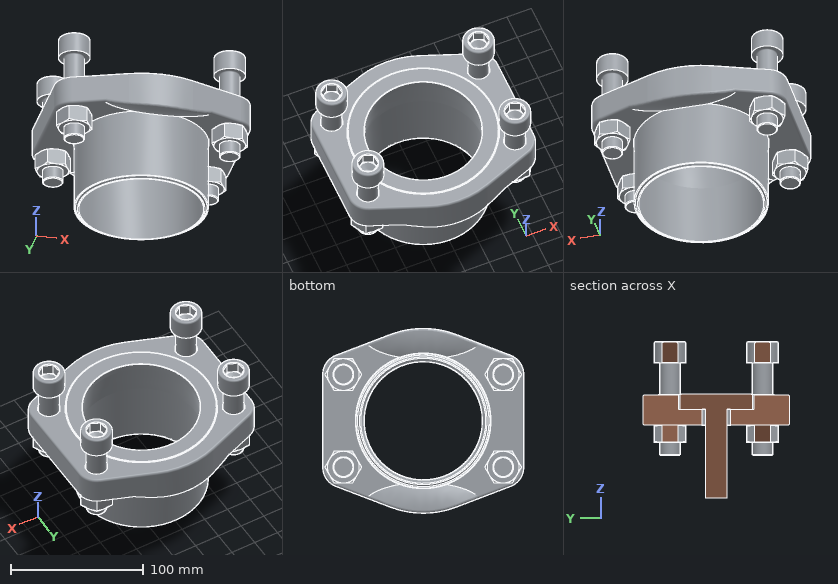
import cadquery as cq
import math

FLANGE_TOP = -0.5
FLANGE_BOTTOM = -23.7
HUB_BOTTOM = -80.1
SCREW_TOP = 39.5

BOLT_X = 60.3
BOLT_Y = 35.0
FLANGE_HALF_X = 76.0
FLANGE_HALF_Y = 139.7 / 2
CORNER_RADIUS = FLANGE_HALF_X - BOLT_X
EDGE_FILLET = 2.0

RIB_BOTTOM = -29.3
RIB_RADIUS = 194.5
RIB_CROWN_RADIUS = 36.5
RIB_CREST_Y = 66.1

COLLAR_DIAMETER = 114.3
COLLAR_HEIGHT = 11.5
COLLAR_CHAMFER = 0.5
COLLAR_BORE_DIAMETER = 115.0
HUB_DIAMETER = 101.5
HUB_HOLE_DIAMETER = 102.5
HUB_LEDGE = 1.0
HUB_CHAMFER = 1.5
MOUTH_DIAMETER = 89.0
MOUTH_DEPTH = 6.0
MOUTH_CHAMFER = 0.3
BORE_DIAMETER = 94.4
FLARE_END = -30.1

SHANK_DIAMETER = 15.7
SHANK_LENGTH = 69.9
SCREW_HOLE_DIAMETER = 17.0
HEAD_DIAMETER = 24.0
HEAD_HEIGHT = 16.0
HEAD_FILLET = 1.4
NECK_FILLET = 0.9
TIP_CHAMFER = 0.68
SOCKET_FLATS = 14.0
SOCKET_DEPTH = 9.3
SOCKET_TURN = 36.0
SOCKET_MOUTH_DIAMETER = 16.1
SOCKET_CONE_SLOPE = 0.5

NUT_FLATS = 24.0
NUT_HEIGHT = 12.8
NUT_BEVEL = 0.8

COS_30 = math.cos(math.radians(30))
BOLT_CENTRES = [(x, y) for x in (-BOLT_X, BOLT_X) for y in (-BOLT_Y, BOLT_Y)]


def cylinder(diameter, bottom, top):
    return cq.Workplane("XY").workplane(offset=bottom).circle(diameter / 2).extrude(top - bottom)


def flange_prism(bottom, top):
    """The flange outline extruded between two heights."""
    bolt_distance = math.hypot(BOLT_X, BOLT_Y)
    tangent_angle = math.atan2(BOLT_X, BOLT_Y) - math.acos((FLANGE_HALF_Y - CORNER_RADIUS) / bolt_distance)
    nx, ny = math.sin(tangent_angle), math.cos(tangent_angle)
    end_x, end_y = FLANGE_HALF_Y * nx, FLANGE_HALF_Y * ny
    corner_x, corner_y = BOLT_X + CORNER_RADIUS * nx, BOLT_Y + CORNER_RADIUS * ny
    middle_angle = (tangent_angle + math.pi / 2) / 2
    middle_x = BOLT_X + CORNER_RADIUS * math.sin(middle_angle)
    middle_y = BOLT_Y + CORNER_RADIUS * math.cos(middle_angle)
    return (
        cq.Workplane("XY")
        .workplane(offset=bottom)
        .moveTo(-end_x, end_y)
        .threePointArc((0, FLANGE_HALF_Y), (end_x, end_y))
        .lineTo(corner_x, corner_y)
        .threePointArc((middle_x, middle_y), (FLANGE_HALF_X, BOLT_Y))
        .lineTo(FLANGE_HALF_X, -BOLT_Y)
        .threePointArc((middle_x, -middle_y), (corner_x, -corner_y))
        .lineTo(end_x, -end_y)
        .threePointArc((0, -FLANGE_HALF_Y), (-end_x, -end_y))
        .lineTo(-corner_x, -corner_y)
        .threePointArc((-middle_x, -middle_y), (-FLANGE_HALF_X, -BOLT_Y))
        .lineTo(-FLANGE_HALF_X, BOLT_Y)
        .threePointArc((-middle_x, middle_y), (-corner_x, corner_y))
        .close()
        .extrude(top - bottom)
    )


def make_rib():
    """Thickening of the +Y half of the flange; its underside is part of a large torus around a Y axis."""
    torus_centre = cq.Vector(0, RIB_CREST_Y, RIB_BOTTOM + RIB_RADIUS)
    ring_radius = RIB_RADIUS - RIB_CROWN_RADIUS
    torus = cq.Solid.makeTorus(ring_radius, RIB_CROWN_RADIUS, torus_centre, cq.Vector(0, 1, 0))
    rib = flange_prism(2 * RIB_BOTTOM, FLANGE_TOP).intersect(cq.Workplane(torus))
    rim = rib.faces("%TORUS").edges().filter(lambda edge: edge.Center().z < FLANGE_TOP - EDGE_FILLET)
    return rim.fillet(EDGE_FILLET)


def make_flange():
    """Plate with two ribs below, a stepped bore for the hub and four screw holes."""
    plate = flange_prism(FLANGE_BOTTOM, FLANGE_TOP).faces("<Z").edges().fillet(EDGE_FILLET)
    rib = make_rib()
    blank = plate.union(rib).union(rib.mirror("XZ"))
    blank = blank.faces(">Z").edges().fillet(EDGE_FILLET)
    screw_holes = (
        cq.Workplane("XY")
        .workplane(offset=FLANGE_BOTTOM)
        .pushPoints(BOLT_CENTRES)
        .circle(SCREW_HOLE_DIAMETER / 2)
        .extrude(FLANGE_TOP - FLANGE_BOTTOM)
    )
    hub_hole = cylinder(HUB_HOLE_DIAMETER, 2 * FLANGE_BOTTOM, FLANGE_TOP)
    collar_bore = cylinder(COLLAR_BORE_DIAMETER, -COLLAR_HEIGHT, FLANGE_TOP)
    return blank.cut(hub_hole).cut(collar_bore).cut(screw_holes)


def make_hub():
    """Pipe stub with a collar at its top and a bore that flares below the mouth."""
    half_profile = (
        cq.Workplane("XZ")
        .moveTo(MOUTH_DIAMETER / 2 + MOUTH_CHAMFER, 0)
        .lineTo(COLLAR_DIAMETER / 2 - COLLAR_CHAMFER, 0)
        .lineTo(COLLAR_DIAMETER / 2, -COLLAR_CHAMFER)
        .lineTo(COLLAR_DIAMETER / 2, -COLLAR_HEIGHT)
        .lineTo(HUB_DIAMETER / 2, -COLLAR_HEIGHT)
        .lineTo(HUB_DIAMETER / 2, HUB_BOTTOM + HUB_CHAMFER)
        .lineTo(HUB_DIAMETER / 2 - HUB_LEDGE, HUB_BOTTOM + HUB_CHAMFER)
        .lineTo(HUB_DIAMETER / 2 - HUB_LEDGE - HUB_CHAMFER, HUB_BOTTOM)
        .lineTo(BORE_DIAMETER / 2, HUB_BOTTOM)
        .lineTo(BORE_DIAMETER / 2, FLARE_END)
        .lineTo(MOUTH_DIAMETER / 2, -MOUTH_DEPTH)
        .lineTo(MOUTH_DIAMETER / 2, -MOUTH_CHAMFER)
        .close()
    )
    return half_profile.revolve(360, (0, 0, 0), (0, 1, 0))


def pointed_cone(diameter, top):
    """Cone standing on its point, with its flat side at the given height."""
    height = diameter / 2 * SOCKET_CONE_SLOPE
    return cq.Workplane(cq.Solid.makeCone(0, diameter / 2, height, cq.Vector(0, 0, top - height)))


def socket():
    """Hexagonal socket with a countersunk mouth and a conical floor."""
    floor = SCREW_TOP - SOCKET_DEPTH
    hexagon = (
        cq.Workplane("XY")
        .transformed(offset=(0, 0, floor), rotate=(0, 0, SOCKET_TURN))
        .polygon(6, SOCKET_FLATS / COS_30)
        .extrude(SOCKET_DEPTH)
    )
    countersink = pointed_cone(SOCKET_MOUTH_DIAMETER, SCREW_TOP)
    point = pointed_cone(SOCKET_FLATS, floor)
    return hexagon.union(point).union(countersink)


def make_screw(x, y):
    """Socket head screw whose shank spreads in a fillet under the head."""
    seat = SCREW_TOP - HEAD_HEIGHT
    head = cylinder(HEAD_DIAMETER, seat, SCREW_TOP).faces(">Z").edges().fillet(HEAD_FILLET)
    shank_radius = SHANK_DIAMETER / 2
    tip = seat - SHANK_LENGTH
    shank = (
        cq.Workplane("XZ")
        .moveTo(0, tip)
        .lineTo(shank_radius - TIP_CHAMFER, tip)
        .lineTo(shank_radius, tip + TIP_CHAMFER)
        .lineTo(shank_radius, seat - NECK_FILLET)
        .radiusArc((shank_radius + NECK_FILLET, seat), NECK_FILLET)
        .lineTo(0, seat)
        .close()
        .revolve(360, (0, 0, 0), (0, 1, 0))
    )
    return head.union(shank).cut(socket()).translate((x, y, 0))


def make_nut(x, y):
    """Hexagon nut against the underside of the flange, with a corner on each side along X."""
    nut_bottom = FLANGE_BOTTOM - NUT_HEIGHT
    corner_radius = NUT_FLATS / COS_30 / 2
    hexagon = (
        cq.Workplane("XY")
        .workplane(offset=nut_bottom)
        .polygon(6, 2 * corner_radius)
        .extrude(NUT_HEIGHT)
    )
    envelope = cylinder(2 * corner_radius, nut_bottom, FLANGE_BOTTOM)
    bevelled = envelope.faces("|Z").edges().chamfer(NUT_BEVEL, corner_radius - NUT_FLATS / 2)
    hole = cylinder(SHANK_DIAMETER, nut_bottom, FLANGE_BOTTOM)
    return hexagon.intersect(bevelled).cut(hole).translate((x, y, 0))


flange = make_flange()
hub = make_hub()
screws = [make_screw(x, y) for x, y in BOLT_CENTRES]
nuts = [make_nut(x, y) for x, y in BOLT_CENTRES]

result = cq.Compound.makeCompound(
    [flange.val(), hub.val(), *[screw.val() for screw in screws], *[nut.val() for nut in nuts]]
)